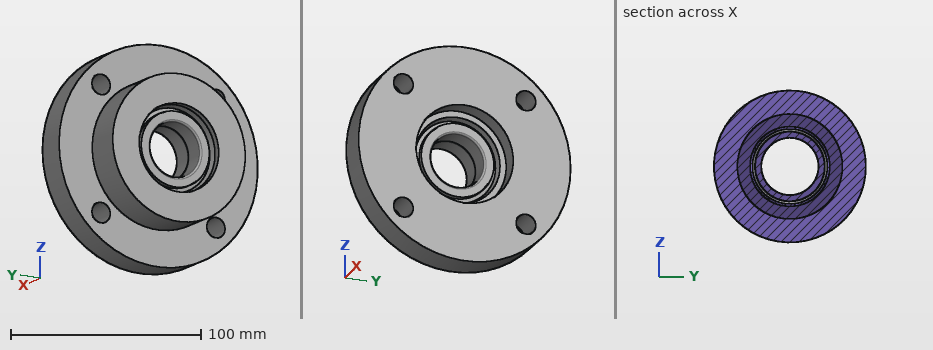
import cadquery as cq

flange_diameter = 120.0
flange_thickness = 18.0
boss_diameter = 80.0
boss_length = 22.0
lip_bore = 48.0
lip_length = 4.0
total_length = boss_length + flange_thickness

bolt_hole_diameter = 11.0
bolt_circle_diameter = 98.0
bolt_count = 4
first_bolt_angle = 45.0

bearing_diameter = 55.0
bearing_bore = 30.0
bearing_width = 13.0
wide_end_fillet = 1.0
narrow_end_fillet = 0.5
rib_diameter = 41.0
rib_width = 3.2
raceway_slope = 0.32
roller_end_slope = 0.15
bearings_middle = lip_length + bearing_width

outer_ring_narrow_radius = lip_bore / 2 - raceway_slope * bearing_width
inner_ring_narrow_radius = rib_diameter / 2 - raceway_slope * (bearing_width - rib_width)


def revolve_about_x(profile):
    """Turn a closed profile of (x, radius) points fully around the X axis."""
    return profile.revolve(360, (0, 0, 0), (1, 0, 0))


def ring_from_points(points):
    return revolve_about_x(cq.Workplane("XY").polyline(points).close())


def make_housing():
    """Flange and boss with a bearing bore that stops at the front lip."""
    body = ring_from_points([
        (0, lip_bore / 2),
        (0, boss_diameter / 2),
        (boss_length, boss_diameter / 2),
        (boss_length, flange_diameter / 2),
        (total_length, flange_diameter / 2),
        (total_length, bearing_diameter / 2),
        (lip_length, bearing_diameter / 2),
        (lip_length, lip_bore / 2),
    ])
    bolt_holes = (
        cq.Workplane("YZ")
        .polarArray(bolt_circle_diameter / 2, first_bolt_angle, 360, bolt_count)
        .circle(bolt_hole_diameter / 2)
        .extrude(total_length)
    )
    return body.cut(bolt_holes)


def make_outer_ring():
    """Ring with a conical raceway; its wide end lies at X = 0."""
    return ring_from_points([
        (0, bearing_diameter / 2),
        (0, lip_bore / 2),
        (bearing_width, outer_ring_narrow_radius),
        (bearing_width, bearing_diameter / 2),
    ])


def make_inner_ring():
    """Ring with a shoulder at X = 0, a conical raceway and rounded bore edges."""
    ring = ring_from_points([
        (0, bearing_bore / 2),
        (0, rib_diameter / 2),
        (rib_width, rib_diameter / 2),
        (bearing_width, inner_ring_narrow_radius),
        (bearing_width, bearing_bore / 2),
    ])
    bore_edge = cq.selectors.RadiusNthSelector(0)
    ring = ring.faces("<X").edges(bore_edge).fillet(wide_end_fillet)
    return ring.faces(">X").edges(bore_edge).fillet(narrow_end_fillet)


def make_roller_ring():
    """Conical ring that fills the space between the two raceways."""
    raceway_gap = (lip_bore - rib_diameter) / 2 - raceway_slope * rib_width
    end_height = raceway_gap / (1 + raceway_slope * roller_end_slope)
    end_depth = roller_end_slope * end_height
    front_inner = rib_width
    back_inner = bearing_width - rib_width
    front_outer = front_inner + end_depth
    back_outer = back_inner + end_depth
    return ring_from_points([
        (front_inner, rib_diameter / 2),
        (front_outer, lip_bore / 2 - raceway_slope * front_outer),
        (back_outer, lip_bore / 2 - raceway_slope * back_outer),
        (back_inner, rib_diameter / 2 - raceway_slope * (back_inner - rib_width)),
    ])


def place_pair(part):
    """Solids of a bearing part behind the lip and mirrored to the second bearing."""
    front = part.translate((lip_length, 0, 0))
    back = front.mirror("YZ", (bearings_middle, 0, 0))
    return [front.solids().val(), back.solids().val()]


housing = make_housing()
bodies = [housing.solids().val()]
for bearing_part in (make_outer_ring(), make_inner_ring(), make_roller_ring()):
    bodies.extend(place_pair(bearing_part))

result = cq.Compound.makeCompound(bodies)